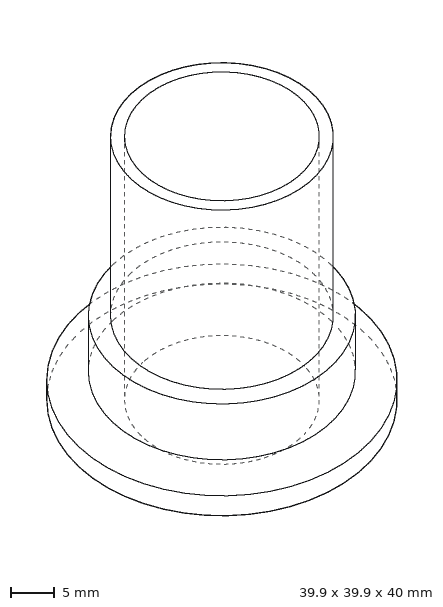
import cadquery as cq

total_height = 40.0
flange_diameter = 39.9

rim_height = 3.05
cone_top = 4.32
collar_diameter = 30.4
collar_top = 12.8
tube_diameter = 25.35

wall_thickness = 1.6
bore_diameter = tube_diameter - 2 * wall_thickness

flange_radius = flange_diameter / 2
collar_radius = collar_diameter / 2
tube_radius = tube_diameter / 2
bore_radius = bore_diameter / 2

half_section = (
    cq.Workplane("XZ")
    .moveTo(bore_radius, 0)
    .lineTo(flange_radius, 0)
    .lineTo(flange_radius, rim_height)
    .lineTo(collar_radius, cone_top)
    .lineTo(collar_radius, collar_top)
    .lineTo(tube_radius, collar_top)
    .lineTo(tube_radius, total_height)
    .lineTo(bore_radius, total_height)
    .close()
)

result = half_section.revolve(360, (0, 0, 0), (0, 1, 0))